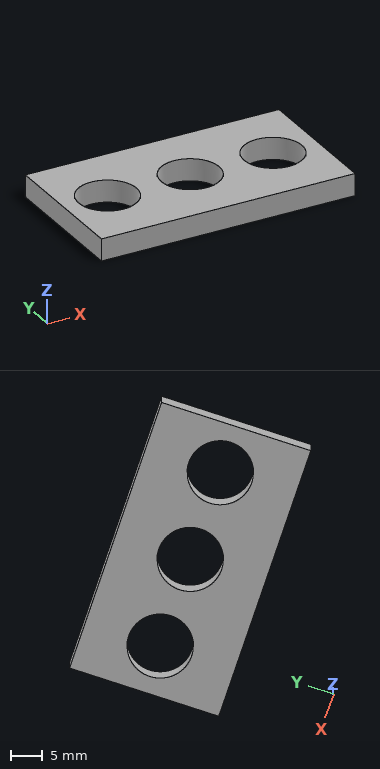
import cadquery as cq

length = 46.0
width = 25.0
thickness = 4.0

hole_diameter = 10.5
hole_spacing = 15.0
hole_count = 3

plate = cq.Workplane("XY").box(length, width, thickness)

result = (
    plate.faces(">Z")
    .workplane()
    .rarray(hole_spacing, 0.45, hole_count, 1)
    .hole(hole_diameter)
)